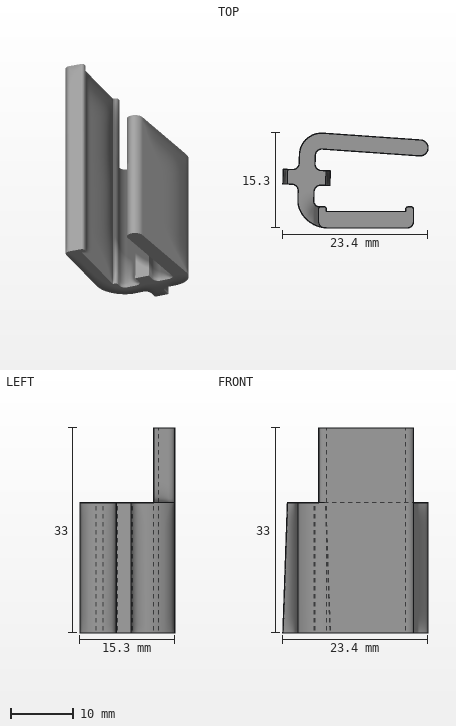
import cadquery as cq
import math

body_height = 21.0
plate_height = 33.0

wall = 2.6
wall_lean = 2.0
arm_slope = 4.0
body_depth = 15.29
wall_foot_x = -3.51
arm_tip_x = 17.63
arm_bend_inner = 1.0
arm_bend_outer = arm_bend_inner + wall
front_bend_inner = 0.9
front_bend_outer = 5.0
wall_bend_outer = 3.8
bend_joint_angle = 207.0

plate_width = 15.28
plate_thickness = 2.67
lip_width = 1.27
lip_depth = 3.43
plate_corner = 1.0
lip_corner = 0.4

fin_y = 8.15
fin_width = 2.4
fin_half_length_top = 3.07
fin_taper = 2.0
fin_fillet = 1.0

lean_tan = math.tan(math.radians(wall_lean))
lean_cos = math.cos(math.radians(wall_lean))


def wall_x(y, distance):
    """X at the given Y of a line parallel to the outer wall face, set inward by distance."""
    return wall_foot_x + y * lean_tan + distance / lean_cos


def polar(center, radius, angle):
    """Point at the given radius and angle (degrees) from a center."""
    turn = math.radians(angle)
    return (center[0] + radius * math.cos(turn), center[1] + radius * math.sin(turn))


wall_normal = 180 - wall_lean
arm_normal = 90 - arm_slope
arm_bend_mid = (wall_normal + arm_normal) / 2
front_bend_mid = (wall_normal + 270) / 2
wall_bend_mid = (wall_normal + bend_joint_angle) / 2
wide_bend_mid = (bend_joint_angle + 270) / 2

arm_bend_y = body_depth - arm_bend_outer
arm_bend = (wall_x(arm_bend_y, arm_bend_outer), arm_bend_y)
bend_offset = polar((0, 0), front_bend_outer - wall_bend_outer, bend_joint_angle)
wall_outer_y = front_bend_outer + bend_offset[1]
wall_outer = (wall_x(wall_outer_y, wall_bend_outer), wall_outer_y)
front_outer = (wall_outer[0] - bend_offset[0], front_bend_outer)
front_inner_y = lip_depth + front_bend_inner
front_inner = (wall_x(front_inner_y, wall + front_bend_inner), front_inner_y)

arm_middle = polar(arm_bend, arm_bend_inner + wall / 2, arm_normal)
tip_x = arm_tip_x - wall / 2
tip = (tip_x, arm_middle[1] - (tip_x - arm_middle[0]) * math.tan(math.radians(arm_slope)))


def finish_plate(outline):
    """Close an outline that has reached the left lip: both lips, right side and front face."""
    return (
        outline
        .lineTo(lip_width, lip_depth)
        .lineTo(lip_width, plate_thickness)
        .lineTo(plate_width - lip_width, plate_thickness)
        .lineTo(plate_width - lip_width, lip_depth)
        .lineTo(plate_width, lip_depth)
        .lineTo(plate_width, plate_corner)
        .threePointArc(
            polar((plate_width - plate_corner, plate_corner), plate_corner, -45),
            (plate_width - plate_corner, 0),
        )
        .close()
    )


def round_lips(solid, left_limit):
    """Round the vertical lip edges that lie to the right of left_limit."""
    reach = lip_corner / 2
    box = cq.selectors.BoxSelector(
        (left_limit, lip_depth - reach, 0),
        (plate_width + reach, lip_depth + reach, plate_height),
    )
    return solid.edges("|Z").edges(box).fillet(lip_corner)


def make_body():
    """Arm, back wall, front bend and the lower part of the plate."""
    outline = (
        cq.Workplane("XY")
        .moveTo(front_outer[0], 0)
        .threePointArc(
            polar(front_outer, front_bend_outer, wide_bend_mid),
            polar(front_outer, front_bend_outer, bend_joint_angle),
        )
        .threePointArc(
            polar(wall_outer, wall_bend_outer, wall_bend_mid),
            polar(wall_outer, wall_bend_outer, wall_normal),
        )
        .lineTo(*polar(arm_bend, arm_bend_outer, wall_normal))
        .threePointArc(
            polar(arm_bend, arm_bend_outer, arm_bend_mid),
            polar(arm_bend, arm_bend_outer, arm_normal),
        )
        .lineTo(*polar(tip, wall / 2, arm_normal))
        .threePointArc(
            polar(tip, wall / 2, -arm_slope),
            polar(tip, wall / 2, arm_normal - 180),
        )
        .lineTo(*polar(arm_bend, arm_bend_inner, arm_normal))
        .threePointArc(
            polar(arm_bend, arm_bend_inner, arm_bend_mid),
            polar(arm_bend, arm_bend_inner, wall_normal),
        )
        .lineTo(*polar(front_inner, front_bend_inner, wall_normal))
        .threePointArc(
            polar(front_inner, front_bend_inner, front_bend_mid),
            (front_inner[0], lip_depth),
        )
    )
    body = finish_plate(outline).extrude(body_height)
    return round_lips(body, lip_width / 2)


def make_upper_plate():
    """Plate standing above the body, its left corner blended into the front bend arc."""
    center_distance = front_bend_outer - plate_corner
    corner_dx = front_outer[0] - plate_corner
    corner_dy = math.sqrt(center_distance**2 - corner_dx**2)
    corner = (plate_corner, front_outer[1] - corner_dy)
    blend_angle = 180 + math.degrees(math.atan2(corner_dy, corner_dx))

    outline = (
        cq.Workplane("XY")
        .workplane(offset=body_height)
        .moveTo(front_outer[0], 0)
        .threePointArc(
            polar(front_outer, front_bend_outer, (blend_angle + 270) / 2),
            polar(front_outer, front_bend_outer, blend_angle),
        )
        .threePointArc(
            polar(corner, plate_corner, (blend_angle + 180) / 2),
            (0, corner[1]),
        )
        .lineTo(0, lip_depth)
    )
    plate = finish_plate(outline).extrude(plate_height - body_height)
    return round_lips(plate, -lip_width / 2)


def make_fin():
    """Fin square to the wall, longer at the bottom, with rounded roots on both wall faces."""
    half_length_bottom = fin_half_length_top + body_height * math.tan(math.radians(fin_taper))
    fin = (
        cq.Workplane("XZ")
        .polyline([
            (-half_length_bottom, 0),
            (half_length_bottom, 0),
            (fin_half_length_top, body_height),
            (-fin_half_length_top, body_height),
        ])
        .close()
        .extrude(fin_width / 2, both=True)
    )
    root_width = fin_width + 2 * fin_fillet
    root = cq.Workplane("XY").rect(wall + 2 * fin_fillet, root_width).extrude(body_height)
    rounds = (
        cq.Workplane("XY")
        .rect(wall + 2 * fin_fillet, root_width, forConstruction=True)
        .vertices()
        .circle(fin_fillet)
        .extrude(body_height)
    )
    return (
        fin.union(root.cut(rounds))
        .rotate((0, 0, 0), (0, 0, 1), -wall_lean)
        .translate((wall_x(fin_y, wall / 2), fin_y, 0))
    )


body = make_body()
fin_stubs = make_fin().cut(body)
result = body.union(make_upper_plate(), clean=False).union(fin_stubs, clean=False)